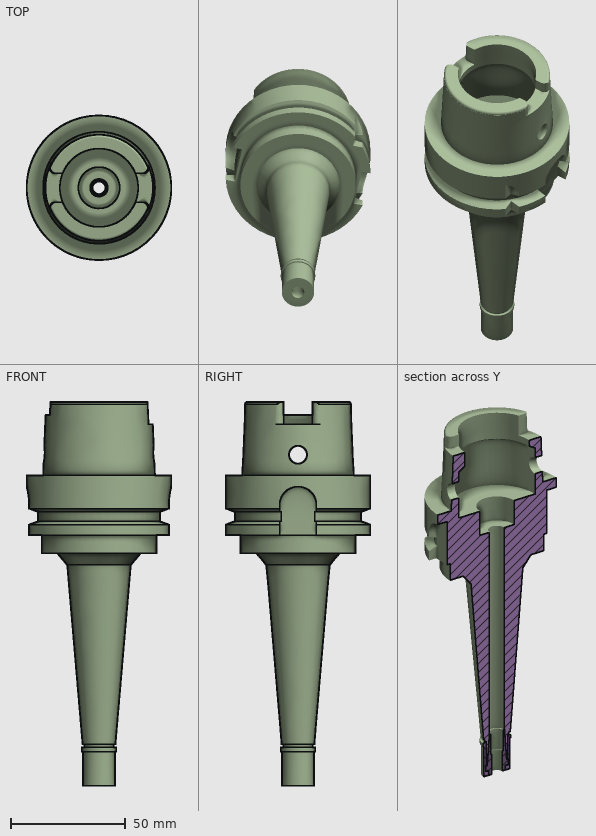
import cadquery as cq
import math

total_length = 167.0
flange_top = 135.0
flange_bottom = 109.0
collar_bottom = 101.0
shoulder_bottom = 96.0
shank_bottom = 18.0
nut_top = 16.7
nut_ring_bottom = 14.9
nut_floor = 2.5

taper_top_radius = 23.0
taper_base_radius = 24.4
rim_round = 1.2
bore_radius = 17.0
bore_lip_depth = 12.7
undercut_radius = 20.0
undercut_angle = math.radians(30)
cavity_floor = 130.3
tube_thread_radius = 9.0
tube_thread_floor = 118.5
channel_radius = 3.8

drive_slot_width = 12.5
shallow_slot_depth = 5.7
deep_slot_depth = 9.7
drive_slot_fillet = 2.3

access_hole_radius = 3.8
access_hole_height = 144.0

flange_diameter = 63.0
flange_radius = flange_diameter / 2
groove_radius = 27.5
groove_middle = 117.0
groove_floor_width = 4.0
groove_mouth_width = 7.0
key_slot_width = 16.0
key_slot_top = 130.1
key_slot_flat = 26.5
notch_flat = 20.4
notch_edge = 19.7

collar_radius = 25.0
shoulder_top_radius = 18.0
shank_top_radius = 13.9
shank_bottom_radius = 7.2
neck_radius = 6.5
spigot_radius = 5.8

nut_radius = 7.0
nut_ring_radius = 7.5
nut_mouth_radius = 4.3
collet_head_top = 5.0
collet_top = 20.0
collet_seat_radius = 5.0
collet_bore_diameter = 5.5
collet_bore_radius = collet_bore_diameter / 2
collet_relief_radius = 3.2
collet_relief_bottom = 10.0


def revolve_profile(points):
    """Revolve a closed outline of (radius, height) points about Z."""
    return cq.Workplane("XZ").polyline(points).close().revolve(360, (0, 0, 0), (0, 1, 0))


def holder_blank():
    """Outside of the holder joined to its stepped axial bore."""
    groove_top_edge = groove_middle + groove_mouth_width / 2
    groove_bottom_edge = groove_middle - groove_mouth_width / 2
    groove_floor_top = groove_middle + groove_floor_width / 2
    groove_floor_bottom = groove_middle - groove_floor_width / 2
    lip_bottom = total_length - bore_lip_depth
    undercut_top = lip_bottom - (undercut_radius - bore_radius) * math.tan(undercut_angle)
    outside = [
        (taper_top_radius, total_length),
        (taper_base_radius, flange_top),
        (flange_radius, flange_top),
        (flange_radius, groove_top_edge),
        (groove_radius, groove_floor_top),
        (groove_radius, groove_floor_bottom),
        (flange_radius, groove_bottom_edge),
        (flange_radius, flange_bottom),
        (collar_radius, flange_bottom),
        (collar_radius, collar_bottom),
        (shoulder_top_radius, collar_bottom),
        (shank_top_radius, shoulder_bottom),
        (shank_bottom_radius, shank_bottom),
        (neck_radius, shank_bottom),
        (neck_radius, nut_top),
        (spigot_radius, nut_top),
        (spigot_radius, collet_head_top),
    ]
    inside = [
        (collet_seat_radius, collet_head_top),
        (channel_radius, collet_top),
        (channel_radius, tube_thread_floor),
        (tube_thread_radius, tube_thread_floor),
        (tube_thread_radius, cavity_floor),
        (undercut_radius, cavity_floor),
        (undercut_radius, undercut_top),
        (bore_radius, lip_bottom),
        (bore_radius, total_length),
    ]
    return revolve_profile(outside + inside)


def drive_slot(side, depth):
    """Rim slot on the +X (side = 1) or -X (side = -1) half."""
    return (
        cq.Workplane("XY", origin=(side * flange_radius / 2, 0, total_length - depth))
        .rect(flange_radius, drive_slot_width)
        .extrude(depth)
    )


def cut_drive_slots(body):
    """Cut both rim slots, round their outer corners and the rim edge."""
    body = body.cut(drive_slot(-1, shallow_slot_depth)).cut(drive_slot(1, deep_slot_depth))
    corner_zone = cq.selectors.BoxSelector(
        (-taper_base_radius, -drive_slot_width, total_length - deep_slot_depth),
        (taper_base_radius, drive_slot_width, total_length),
    )
    outer_corners = [
        edge
        for edge in body.edges(corner_zone).vals()
        if edge.BoundingBox().zlen > shallow_slot_depth / 2
        and abs(edge.Center().x) > bore_radius
    ]
    body = body.newObject(outer_corners).fillet(drive_slot_fillet)
    return body.cut(rim_rounding())


def rim_rounding():
    """Ring that rounds the outer edge of the rim when cut away."""
    arc_radius = taper_top_radius - rim_round
    arc_height = total_length - rim_round
    diagonal = rim_round * math.sin(math.radians(45))
    return (
        cq.Workplane("XZ")
        .moveTo(arc_radius, total_length)
        .threePointArc((arc_radius + diagonal, arc_height + diagonal), (taper_top_radius, arc_height))
        .lineTo(taper_base_radius, arc_height)
        .lineTo(taper_base_radius, total_length)
        .close()
        .revolve(360, (0, 0, 0), (0, 1, 0))
    )


def flange_pocket(side, flat, centre_y):
    """Round-topped pocket with its flat at |X| = flat, open outward and downward."""
    half_width = key_slot_width / 2
    arc_centre = key_slot_top - half_width
    return (
        cq.Workplane("YZ", origin=(side * flat, 0, 0))
        .moveTo(centre_y - half_width, flange_bottom)
        .lineTo(centre_y - half_width, arc_centre)
        .threePointArc((centre_y, key_slot_top), (centre_y + half_width, arc_centre))
        .lineTo(centre_y + half_width, flange_bottom)
        .close()
        .extrude(side * flange_radius)
    )


def make_holder():
    """Tool holder with hollow taper, gripper flange and slender shank."""
    body = cut_drive_slots(holder_blank())
    access_hole = (
        cq.Workplane("YZ")
        .center(0, access_hole_height)
        .circle(access_hole_radius)
        .extrude(flange_radius, both=True)
    )
    body = body.cut(access_hole)
    for side in (-1, 1):
        body = body.cut(flange_pocket(side, key_slot_flat, 0))
    return body.cut(flange_pocket(-1, notch_flat, notch_edge + key_slot_width / 2))


def make_nut():
    """Clamping nut with a collar ring at its upper end."""
    return revolve_profile([
        (nut_mouth_radius, 0),
        (nut_radius, 0),
        (nut_radius, nut_ring_bottom),
        (nut_ring_radius, nut_ring_bottom),
        (nut_ring_radius, nut_top),
        (spigot_radius, nut_top),
        (spigot_radius, nut_floor),
        (nut_mouth_radius, nut_floor),
    ])


def make_collet():
    """Collet with its head between nut and holder and its taper in the holder seat."""
    return revolve_profile([
        (collet_bore_radius, 0),
        (nut_mouth_radius, 0),
        (nut_mouth_radius, nut_floor),
        (spigot_radius, nut_floor),
        (spigot_radius, collet_head_top),
        (collet_seat_radius, collet_head_top),
        (channel_radius, collet_top),
        (collet_relief_radius, collet_top),
        (collet_relief_radius, collet_relief_bottom),
        (collet_bore_radius, collet_relief_bottom),
    ])


holder = make_holder()
nut = make_nut()
collet = make_collet()

result = cq.Compound.makeCompound([holder.val(), nut.val(), collet.val()])